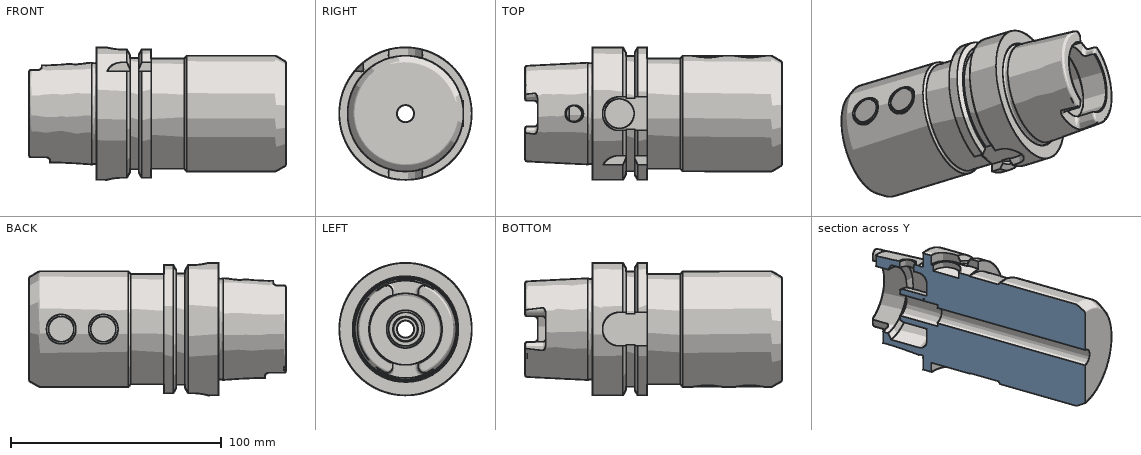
import cadquery as cq
import math


shank_length = 32.0
gauge_distance = 6.3
gauge_diameter = 48.0
taper_half_slope = 1 / 20
shank_rim_rounding = 1.2
relief_start = 2.2
relief_depth = 0.25
relief_neck_start = 1.4
relief_corner_radius = 0.9
relief_face_depth = 0.2
relief_face_diameter = 50.3

entry_diameter = 34.0
entry_chamfer = 0.4
entry_length = 12.8
recess_diameter = 40.0
recess_cone_angle = 60.0
cavity_floor_x = 2.0
cavity_corner_radius = 4.4

nipple_diameter = 18.0
nipple_tip_diameter = 16.0
nipple_cone_x = -11.0
nipple_cone_angle = 30.0
nipple_seat = 1.0
nipple_bore_diameter = 11.3
nipple_bore_mouth_diameter = 12.0
nipple_bore_end_x = 8.0
coolant_diameter = 8.0

flange_diameter = 63.0
flange_width = 26.0
groove_center = 18.0
groove_floor_diameter = 55.0
groove_floor_width = 4.0
groove_lip_diameter = 57.8
groove_flank_angle = 30.0

body_diameter = 52.5
sleeve_start = 41.75
sleeve_step_length = 1.1
sleeve_diameter = 55.0
nose_x = 90.0
nose_cone_length = 4.9
nose_cone_angle = 30.0
nose_rounding = 1.2

slot_half_width = 6.05
slot_root = 10.0
slot_step_height = 20.8
slot_corner_radius = 3.0
slot_depths = {1: 6.0, -1: 9.9}
slot_floor_radius = 1.6
slot_rim_rounding = 1.1

keyway_width = 16.0
keyway_center_x = 12.8
keyway_floor = 26.5
chip_diameter = 14.0
chip_depth = 3.0
notch_offset = 20.0
notch_cutter_radius = 8.0
notch_center_x = 12.2

access_x = -8.8
access_diameter = 7.5
access_chamfer = 0.6
access_start_z = 10.0

screw_hole_diameter = 14.0
screw_diameter = 12.0
screw_hole_depth = 1.5
screw_embedding = 1.0
screw_sink = 0.1
first_screw_x = 54.7
screw_spacing = 20.0
screw_count = 2


def taper_radius(x):
    return gauge_diameter / 2 + (x + gauge_distance) * taper_half_slope


def revolve_x(profile):
    return profile.close().revolve(360, (0, 0, 0), (1, 0, 0))


def cylinder_x(diameter, x_start, x_end):
    return cq.Workplane("YZ", origin=(x_start, 0, 0)).circle(diameter / 2).extrude(x_end - x_start)


def outer_body():
    flange_r = flange_diameter / 2
    lip_r = groove_lip_diameter / 2
    floor_r = groove_floor_diameter / 2
    groove_left = groove_center - groove_floor_width / 2
    groove_right = groove_center + groove_floor_width / 2
    flank = (flange_r - lip_r) * math.tan(math.radians(groove_flank_angle))
    neck_r = taper_radius(-relief_start) - relief_depth
    sleeve_r = sleeve_diameter / 2
    nose_r = sleeve_r - nose_cone_length * math.tan(math.radians(nose_cone_angle))
    body = revolve_x(
        cq.Workplane("XY")
        .moveTo(-shank_length, 0)
        .lineTo(-shank_length, taper_radius(-shank_length))
        .lineTo(-relief_start, taper_radius(-relief_start))
        .lineTo(-relief_neck_start, neck_r)
        .lineTo(relief_face_depth - relief_corner_radius, neck_r)
        .radiusArc((relief_face_depth, neck_r + relief_corner_radius), -relief_corner_radius)
        .lineTo(0, relief_face_diameter / 2)
        .lineTo(0, flange_r)
        .lineTo(groove_left - flank, flange_r)
        .lineTo(groove_left, lip_r)
        .lineTo(groove_left, floor_r)
        .lineTo(groove_right, floor_r)
        .lineTo(groove_right, lip_r)
        .lineTo(groove_right + flank, flange_r)
        .lineTo(flange_width, flange_r)
        .lineTo(flange_width, body_diameter / 2)
        .lineTo(sleeve_start, body_diameter / 2)
        .lineTo(sleeve_start + sleeve_step_length, sleeve_r)
        .lineTo(nose_x - nose_cone_length, sleeve_r)
        .lineTo(nose_x, nose_r)
        .lineTo(nose_x, 0)
    )
    reach = sleeve_diameter
    nose_region = cq.selectors.BoxSelector(
        (nose_x - 2 * nose_cone_length, -reach, -reach), (nose_x + nose_cone_length, reach, reach)
    )
    body = body.edges(nose_region).edges("%CIRCLE").fillet(nose_rounding)
    return body.faces("<X").edges().fillet(shank_rim_rounding)


def cavity():
    entry_r = entry_diameter / 2
    recess_r = recess_diameter / 2
    cone_start = entry_length - shank_length
    cone_end = cone_start + (recess_r - entry_r) / math.tan(math.radians(recess_cone_angle))
    corner_mid = cavity_corner_radius * math.sqrt(0.5)
    corner_x = cavity_floor_x - cavity_corner_radius
    corner_r = recess_r - cavity_corner_radius
    return revolve_x(
        cq.Workplane("XY")
        .moveTo(-shank_length, 0)
        .lineTo(-shank_length, entry_r + entry_chamfer)
        .lineTo(-shank_length + entry_chamfer, entry_r)
        .lineTo(cone_start, entry_r)
        .lineTo(cone_end, recess_r)
        .lineTo(corner_x, recess_r)
        .threePointArc((corner_x + corner_mid, corner_r + corner_mid), (cavity_floor_x, corner_r))
        .lineTo(cavity_floor_x, 0)
    )


def nipple():
    tip_r = nipple_tip_diameter / 2
    outer_r = nipple_diameter / 2
    tip_x = nipple_cone_x - (outer_r - tip_r) / math.tan(math.radians(nipple_cone_angle))
    bore_r = nipple_bore_diameter / 2
    mouth_r = nipple_bore_mouth_diameter / 2
    solid = revolve_x(
        cq.Workplane("XY")
        .moveTo(tip_x, 0)
        .lineTo(tip_x, tip_r)
        .lineTo(nipple_cone_x, outer_r)
        .lineTo(cavity_floor_x + nipple_seat, outer_r)
        .lineTo(cavity_floor_x + nipple_seat, 0)
    )
    bore = revolve_x(
        cq.Workplane("XY")
        .moveTo(tip_x, 0)
        .lineTo(tip_x, mouth_r)
        .lineTo(tip_x + mouth_r - bore_r, bore_r)
        .lineTo(nipple_bore_end_x, bore_r)
        .lineTo(nipple_bore_end_x, 0)
    )
    return solid, bore


def slot_lobe(side, depth):
    reach = flange_diameter
    wall = slot_half_width
    corner = slot_corner_radius
    bulge = corner * (1 - math.sqrt(0.5))
    top = slot_step_height
    lobe = (
        cq.Workplane("YZ", origin=(-shank_length, 0, 0))
        .moveTo(side * wall, 0)
        .lineTo(side * wall, top - corner)
        .threePointArc((side * (wall + bulge), top - bulge), (side * (wall + corner), top))
        .lineTo(side * reach, top)
        .lineTo(side * reach, 0)
        .close()
        .extrude(depth)
    )
    return lobe.faces("<X").edges("not <Z").fillet(slot_rim_rounding)


def driver_slot(side):
    depth = slot_depths[side]
    height = flange_diameter / 2 - slot_root
    block = cq.Workplane("XY").box(depth, flange_diameter, height, centered=(False, True, False))
    cutter = block.translate((-shank_length, 0, slot_root))
    for lobe_side in (1, -1):
        cutter = cutter.cut(slot_lobe(lobe_side, depth))
    floor_edges = cutter.faces(">X").edges("not (<Z or >Z or <Y or >Y)")
    cutter = floor_edges.fillet(slot_floor_radius)
    return cutter if side > 0 else cutter.mirror("XY")


def keyway(side):
    height = flange_diameter / 2
    length = flange_width - keyway_center_x
    plan = cq.Workplane("XY", origin=(0, 0, keyway_floor))
    round_end = plan.center(keyway_center_x, 0).circle(keyway_width / 2).extrude(height)
    straight = plan.center(keyway_center_x + length / 2, 0).rect(length, keyway_width).extrude(height)
    cut = round_end.union(straight)
    return cut if side > 0 else cut.mirror("XY")


def orientation_notch():
    length = flange_width - notch_center_x
    width = 2 * notch_cutter_radius
    y = -notch_offset - notch_cutter_radius
    plan = cq.Workplane("XY", origin=(0, 0, notch_offset))
    round_end = plan.center(notch_center_x, y).circle(notch_cutter_radius).extrude(width)
    straight = plan.center(notch_center_x + length / 2, y).rect(length, width).extrude(width)
    return round_end.union(straight)


def access_hole():
    plan = cq.Workplane("XY", origin=(access_x, 0, access_start_z))
    hole = plan.circle(access_diameter / 2).extrude(flange_diameter / 2)
    hole_r = access_diameter / 2
    mouth = cq.Solid.makeCone(
        hole_r, hole_r + 2 * access_chamfer, 2 * access_chamfer,
        pnt=cq.Vector(access_x, 0, taper_radius(access_x) - access_chamfer),
        dir=cq.Vector(0, 0, 1),
    )
    return hole, cq.Workplane(mouth)


def chip_pocket():
    plan = cq.Workplane("XY", origin=(keyway_center_x, 0, keyway_floor - chip_depth))
    return plan.circle(chip_diameter / 2).extrude(chip_depth)


def cylinder_y(x, diameter, y_start, y_end):
    plan = cq.Workplane("XZ", origin=(x, y_end, 0))
    return plan.circle(diameter / 2).extrude(y_end - y_start)


def clamping_screw(x):
    surface_y = sleeve_diameter / 2
    floor_y = surface_y - screw_hole_depth
    hole = cylinder_y(x, screw_hole_diameter, floor_y, surface_y)
    screw = cylinder_y(x, screw_diameter, floor_y - screw_embedding, surface_y - screw_sink)
    return hole, screw


part = outer_body()
for slot_side in slot_depths:
    part = part.cut(driver_slot(slot_side))
part = part.cut(cavity())

nipple_solid, nipple_bore = nipple()
part = part.union(nipple_solid).cut(nipple_bore)
part = part.cut(cylinder_x(coolant_diameter, -shank_length, nose_x))

for key_side in (1, -1):
    part = part.cut(keyway(key_side))
part = part.cut(chip_pocket())
part = part.cut(orientation_notch())

access_bore, access_mouth = access_hole()
part = part.cut(access_bore).cut(access_mouth)

for index in range(screw_count):
    screw_hole, screw_body = clamping_screw(first_screw_x + index * screw_spacing)
    part = part.cut(screw_hole).union(screw_body)

result = part